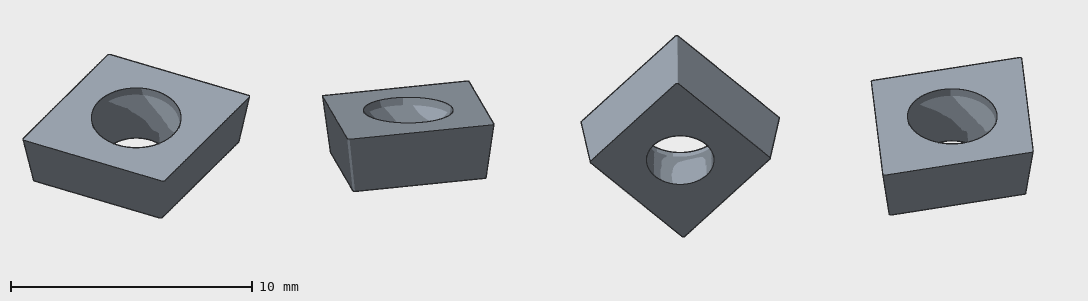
import cadquery as cq
import math

width = 6.35
thickness = 2.38
corner_angle = math.radians(80)
clearance_angle = 7
corner_radius = 0.09

mouth_diameter = 3.72
seat_diameter = 3.6
bore_diameter = 2.8
mouth_depth = 0.33
seat_depth = 1.785


def insert_body():
    """Rhombus tapering downward, with its four upright edges rounded."""
    half_width = width / 2
    half_side = half_width / math.sin(corner_angle)
    lean = half_width / math.tan(corner_angle)
    corners = [
        (-half_side - lean, -half_width),
        (half_side - lean, -half_width),
        (half_side + lean, half_width),
        (-half_side + lean, half_width),
    ]
    body = (
        cq.Workplane("XY")
        .workplane(offset=thickness)
        .polyline(corners)
        .close()
        .extrude(-thickness, taper=clearance_angle)
    )
    return body.edges("not #Z").fillet(corner_radius)


def screw_hole():
    """Conical mouth, then a flared seat running tangentially into the bore."""
    mouth_radius = mouth_diameter / 2
    seat_radius = seat_diameter / 2
    bore_radius = bore_diameter / 2
    bore_top = thickness - seat_depth

    step = seat_radius - bore_radius
    rise = seat_depth - mouth_depth
    arc_radius = (step**2 + rise**2) / (2 * step)
    half_sweep = math.asin(rise / arc_radius) / 2
    arc_middle = (
        bore_radius + arc_radius * (1 - math.cos(half_sweep)),
        bore_top + arc_radius * math.sin(half_sweep),
    )
    return (
        cq.Workplane("XZ")
        .moveTo(0, 0)
        .lineTo(bore_radius, 0)
        .lineTo(bore_radius, bore_top)
        .threePointArc(arc_middle, (seat_radius, thickness - mouth_depth))
        .lineTo(mouth_radius, thickness)
        .lineTo(0, thickness)
        .close()
        .revolve(360, (0, 0, 0), (0, 1, 0))
    )


result = insert_body().cut(screw_hole())